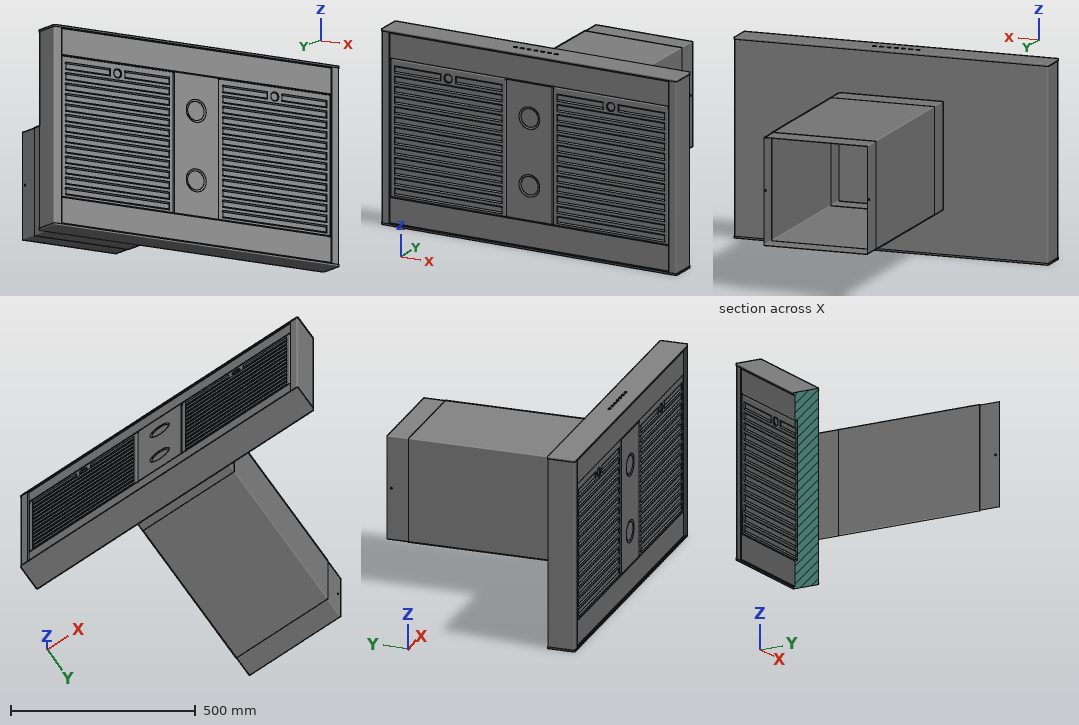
import cadquery as cq

WIDTH = 913.0
HEIGHT = 559.0
FRONT_Y = -325.0
CANOPY_DEPTH = 80.0
BACK_Y = FRONT_Y + CANOPY_DEPTH

PLATE_THICKNESS = 5.5
PLATE_EDGE_RADIUS = 1.4
LIP = 1.0
CORNER_RADIUS = 5.0
BOX_WIDTH = WIDTH - 2 * LIP
BOX_HEIGHT = HEIGHT - 2 * PLATE_THICKNESS
BOX_FRONT_Y = FRONT_Y + LIP
BOX_BACK_Y = BACK_Y - LIP

SETBACK = 3.0
FIELD_WIDTH = 860.0
FIELD_HEIGHT = 542.5
FIELD_Y = BOX_FRONT_Y + SETBACK

GAP = 3.0
BAY_HEIGHT = 398.0
INSERT_HEIGHT = BAY_HEIGHT - 2 * GAP
INSERT_THICKNESS = 9.0
INSERT_BACK_Y = FIELD_Y + INSERT_THICKNESS

KEY_COUNT = 7
KEY_PITCH = 21.0
KEY_WIDTH = 10.0
KEY_LENGTH = 5.5
KEY_DEPTH = 1.0
KEY_Y = -285.0

PANEL_WIDTH = 141.0
LAMP_OUTER_RADIUS = 32.0
LAMP_INNER_RADIUS = 26.5
LAMP_DEPTH = 2.0
LAMP_SPACING = 194.0

FILTER_WIDTH = 356.0
FILTER_EDGE_RADIUS = 3.0
FILTER_X = PANEL_WIDTH / 2 + GAP + FILTER_WIDTH / 2
SLOT_ROWS = 13
SLOT_LENGTH = 332.0
SLOT_HEIGHT = 21.0
SLOT_DEPTH = 4.0
TOP_SLOT_Z = 169.0
BOTTOM_SLOT_Z = -180.0
SLOT_PITCH = (TOP_SLOT_Z - BOTTOM_SLOT_Z) / (SLOT_ROWS - 1)
GRIP_BREAK = 47.0
GRIP_OUTER_RADIUS = 13.0
GRIP_INNER_RADIUS = 11.0
GRIP_DEPTH = 3.0

DUCT_WALL = 1.0
DUCT_RADIUS = 3.0
SLEEVE_SIDE = 303.0
SLEEVE_END_Y = 263.0
UPPER_SIDE = SLEEVE_SIDE - 2 * DUCT_WALL
UPPER_START_Y = -183.0
UPPER_END_Y = 325.0
SCREW_DIAMETER = 5.0
SCREW_Y = 312.0


def block(width, height, y_start, y_end):
    """Box centred on the Y axis between two Y positions."""
    return cq.Workplane("XY").box(width, y_end - y_start, height).translate((0, (y_start + y_end) / 2, 0))


def conical_recess(x, z, outer_radius, inner_radius, depth):
    """Round recess that narrows from the face of an insert to a flat floor."""
    return (
        cq.Workplane("XZ", origin=(x, FIELD_Y, z))
        .circle(outer_radius)
        .workplane(offset=-depth)
        .circle(inner_radius)
        .loft(ruled=True)
    )



def trim_plate():
    """Upper trim plate with a softened outer front edge."""
    return (
        block(WIDTH, PLATE_THICKNESS, FRONT_Y, BACK_Y)
        .edges("|Z")
        .fillet(CORNER_RADIUS)
        .translate((0, 0, (HEIGHT - PLATE_THICKNESS) / 2))
        .faces("<Y")
        .edges(">Z")
        .fillet(PLATE_EDGE_RADIUS)
    )


def face_setback():
    """Shallow recess that leaves a raised rim around the canopy face."""
    half_floor = FIELD_WIDTH / 2
    half_mouth = half_floor + SETBACK
    return (
        cq.Workplane("XY", origin=(0, 0, -FIELD_HEIGHT / 2))
        .moveTo(-half_mouth, BOX_FRONT_Y)
        .lineTo(half_mouth, BOX_FRONT_Y)
        .lineTo(half_floor, FIELD_Y)
        .lineTo(-half_floor, FIELD_Y)
        .close()
        .extrude(FIELD_HEIGHT)
    )


def touch_keys():
    """Row of shallow key recesses in the top plate."""
    return (
        cq.Workplane("XY", origin=(0, KEY_Y, HEIGHT / 2 - KEY_DEPTH))
        .rarray(KEY_PITCH, 9, KEY_COUNT, 1)
        .rect(KEY_WIDTH, KEY_LENGTH)
        .extrude(KEY_DEPTH)
    )


def make_canopy():
    box = block(BOX_WIDTH, BOX_HEIGHT, BOX_FRONT_Y, BOX_BACK_Y).edges("|Z").fillet(CORNER_RADIUS)
    bay = block(FIELD_WIDTH, BAY_HEIGHT, FIELD_Y, INSERT_BACK_Y)
    top_plate = trim_plate()
    bottom_plate = top_plate.mirror("XY")
    canopy = box.cut(face_setback()).cut(bay)
    return canopy.union(top_plate).union(bottom_plate).cut(touch_keys())



def make_light_panel():
    panel = block(PANEL_WIDTH, INSERT_HEIGHT, FIELD_Y, INSERT_BACK_Y)
    for side in (1, -1):
        lamp_z = side * LAMP_SPACING / 2
        panel = panel.cut(conical_recess(0, lamp_z, LAMP_OUTER_RADIUS, LAMP_INNER_RADIUS, LAMP_DEPTH))
    return panel



def slot(x_start, x_end, z):
    """Groove with upright ends and 45 degree upper and lower walls."""
    half_mouth = SLOT_HEIGHT / 2
    half_floor = half_mouth - SLOT_DEPTH
    floor_y = FIELD_Y + SLOT_DEPTH
    return (
        cq.Workplane("YZ", origin=(x_start, 0, z))
        .moveTo(FIELD_Y, -half_mouth)
        .lineTo(floor_y, -half_floor)
        .lineTo(floor_y, half_floor)
        .lineTo(FIELD_Y, half_mouth)
        .close()
        .extrude(x_end - x_start)
    )


def make_filter(x):
    plate = block(FILTER_WIDTH, INSERT_HEIGHT, FIELD_Y, INSERT_BACK_Y).translate((x, 0, 0))

    plate = plate.faces("<Y").edges("<X or >X or >Z").fillet(FILTER_EDGE_RADIUS)
    left = x - SLOT_LENGTH / 2
    right = x + SLOT_LENGTH / 2

    plate = plate.cut(slot(left, x - GRIP_BREAK / 2, TOP_SLOT_Z))
    plate = plate.cut(slot(x + GRIP_BREAK / 2, right, TOP_SLOT_Z))
    plate = plate.cut(conical_recess(x, TOP_SLOT_Z, GRIP_OUTER_RADIUS, GRIP_INNER_RADIUS, GRIP_DEPTH))

    for row in range(1, SLOT_ROWS):
        plate = plate.cut(slot(left, right, TOP_SLOT_Z - row * SLOT_PITCH))
    return plate



def square_duct(side, y_start, y_end):
    """Thin square tube along Y, rounded at its corners and open at both ends."""
    bore_side = side - 2 * DUCT_WALL
    outside = block(side, side, y_start, y_end).edges("|Y").fillet(DUCT_RADIUS)
    bore = block(bore_side, bore_side, y_start, y_end).edges("|Y").fillet(DUCT_RADIUS - DUCT_WALL)
    return outside.cut(bore)


def make_sleeve():
    return square_duct(SLEEVE_SIDE, BOX_BACK_Y, SLEEVE_END_Y)


def make_upper_duct():
    screw_hole = (
        cq.Workplane("YZ", origin=(-UPPER_SIDE / 2, SCREW_Y, 0))
        .circle(SCREW_DIAMETER / 2)
        .extrude(UPPER_SIDE)
    )
    return square_duct(UPPER_SIDE, UPPER_START_Y, UPPER_END_Y).cut(screw_hole)


canopy = make_canopy()
light_panel = make_light_panel()
filters = [make_filter(side * FILTER_X) for side in (-1, 1)]
sleeve = make_sleeve()
upper_duct = make_upper_duct()

result = cq.Compound.makeCompound(
    [
        canopy.val(),
        light_panel.val(),
        *[grease_filter.val() for grease_filter in filters],
        sleeve.val(),
        upper_duct.val(),
    ]
)